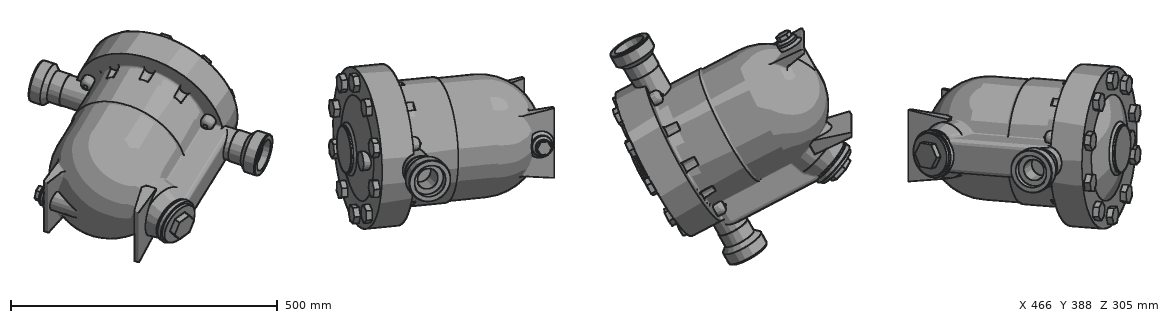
import cadquery as cq
import math


flange_radius = 305.0 / 2
flange_front = 7.5
flange_back = 70.5
cover_radius = 200.0 / 2
cover_mid_radius = 69.5
cover_mid_height = 12.0
cover_neck_radius = 51.0
cover_neck_height = 17.5
cap_radius = 90.0 / 2
cap_top = 97.5
cap_thickness = 4.5
cap_chamfer = 1.0
pad_diameter = 36.0
pad_x = -75.5
pad_top = 88.0

upper_radius = 119.0
lower_radius = 116.0
root_radius = 125.5
root_fillet = 5.0
taper_radius = root_radius - root_fillet
taper_end = -16.0
step_start = -90.0
step_length = 4.0
dome_start = -169.0
dome_end = dome_start - lower_radius

bolt_count = 10
bolt_circle = 129.5
bolt_corner_diameter = 36.0
bolt_head_height = 12.0
scallop_circle = 125.0
scallop_radius = 11.0
scallop_end = -19.0
nut_radius = 26.5 / 2
nut_straight_end = -2.5
nut_dome_end = -12.0
nut_tip_radius = 4.0
nut_tip_end = -16.0

pipe_left = -228.0
pipe_right = 238.0
pipe_diameter = 60.0
sleeve_radius = 62.0 / 2
sleeve_length = 59.5
hub_radius = 81.5 / 2
hub_length = 24.0
hub_taper_length = 10.0
hub_chamfer_length = 2.5
hub_chamfer_depth = 1.0
socket_diameter = 61.0
socket_depth = 15.0
bore_diameter = 40.0

duct_outer_x = 168.0
duct_end = -195.5
duct_width = 66.0
duct_round_y = -9.0
duct_edge_radius = 10.5
outlet_root_radius = 3.5

boss_x = 167.8
boss_y = -226.5
boss_angle = -20.0
boss_radius = 53.0
boss_start = -84.0
boss_cone_start = -46.5
boss_cone_end = -19.5
boss_neck_radius = 43.5
collar_radius = 90.0 / 2
collar_start = -16.0
collar_end = -6.5
plug_flange_radius = 81.5 / 2
strainer_hex_flats = 45.5
strainer_hex_height = 12.5
boss_duct_blend = 8.5

drain_y = -263.0
drain_radius = drain_y - dome_end
drain_skirt_radius = 26.0
drain_skirt_start = -83.5
drain_skirt_end = -89.5
drain_collar_radius = 40.0 / 2
drain_collar_end = -94.0
drain_washer_radius = 36.0 / 2
drain_washer_end = -97.0
drain_seat_radius = 15.0
drain_seat_end = -99.3
drain_hex_flats = 25.0
drain_hex_end = -108.0

foot_bottom = -290.5
foot_top = -210.5
foot_thickness = 9.5
foot_slope = 0.24
foot_bottom_half_width = 69.0
foot_side_slope = 0.15
foot_edge_radius = 2.0
foot_root_radius = 3.5
left_foot_x = -83.5
right_foot_x = 112.5

seam_x = (23.5, 154)
seam_y = (-191, -140)
duct_side_z = (duct_width / 2 - 0.5, duct_width / 2 + 0.5)
outlet_root_x = (88.5, 116.5)
outlet_root_y = (-223.5, -4.5)
outlet_root_z = (28, 42)
foot_root_x = (-86.0, -60.5)
foot_root_y = (-261, -228.5)
foot_root_z = (-62.0, 62.0)


def cylinder_along_y(radius, start, end, x=0.0, z=0.0):
    return cq.Workplane("XZ", origin=(x, start, z)).circle(radius).extrude(start - end)


def cylinder_along_x(radius, start, end, y=0.0):
    return cq.Workplane("YZ", origin=(start, y, 0)).circle(radius).extrude(end - start)


def edges_centred_in(x_range, y_range, z_range):
    """Selector of the edges whose centre lies inside a box."""
    low, high = zip(x_range, y_range, z_range)
    return cq.selectors.BoxSelector(low, high)


def both_sides(near, far):
    """A Z range and its mirror image."""
    return [(near, far), (-far, -near)]


def hexagon_corners(flats):
    return flats / math.cos(math.pi / 6)


def make_vessel():
    dome_mid = lower_radius * math.sqrt(0.5)
    root_bulge = root_fillet * math.sqrt(0.5)
    profile = (
        cq.Workplane("XY")
        .moveTo(0, flange_back)
        .lineTo(flange_radius, flange_back)
        .lineTo(flange_radius, flange_front)
        .lineTo(root_radius, flange_front)
        .threePointArc(
            (root_radius - root_bulge, flange_front - root_fillet + root_bulge),
            (taper_radius, flange_front - root_fillet),
        )
        .lineTo(upper_radius, taper_end)
        .lineTo(upper_radius, step_start)
        .lineTo(lower_radius, step_start - step_length)
        .lineTo(lower_radius, dome_start)
        .threePointArc((dome_mid, dome_start - dome_mid), (0, dome_end))
        .close()
    )
    return profile.revolve(360, (0, 0, 0), (0, 1, 0))


def make_cover_dome():
    cap_bottom = cap_top - cap_thickness
    profile = (
        cq.Workplane("XY")
        .moveTo(0, flange_back)
        .lineTo(cover_radius, flange_back)
        .threePointArc(
            (cover_mid_radius, flange_back + cover_mid_height),
            (cover_neck_radius, flange_back + cover_neck_height),
        )
        .lineTo(cap_radius, cap_bottom)
        .lineTo(cap_radius, cap_top - cap_chamfer)
        .lineTo(cap_radius - cap_chamfer, cap_top)
        .lineTo(0, cap_top)
        .close()
    )
    dome = profile.revolve(360, (0, 0, 0), (0, 1, 0))
    return dome.union(cylinder_along_y(pad_diameter / 2, flange_back, pad_top, x=pad_x))


def make_blind_nut(x, z):
    dome_height = nut_straight_end - nut_dome_end
    mid_radius = nut_tip_radius + (nut_radius - nut_tip_radius) * math.sqrt(0.5)
    mid_y = nut_straight_end - dome_height * math.sqrt(0.5)
    profile = (
        cq.Workplane("XY")
        .moveTo(0, flange_front)
        .lineTo(nut_radius, flange_front)
        .lineTo(nut_radius, nut_straight_end)
        .threePointArc((mid_radius, mid_y), (nut_tip_radius, nut_dome_end))
        .lineTo(0, nut_tip_end)
        .close()
    )
    return profile.revolve(360, (0, 0, 0), (0, 1, 0)).translate((x, 0, z))


def bolt_angles():
    return [90 + i * 360 / bolt_count for i in range(bolt_count)]


def polar(radius, angle):
    return radius * math.cos(math.radians(angle)), radius * math.sin(math.radians(angle))


def is_beside_pipe(angle):
    """The bolts nearest the pipe axis end in blind nuts instead of scallops."""
    height = abs(polar(bolt_circle, angle)[1])
    return height < bolt_circle / 2


def make_bolt_head(angle):
    head = (
        cq.Workplane("XZ", origin=(0, flange_back, bolt_circle))
        .polygon(6, bolt_corner_diameter)
        .extrude(-bolt_head_height)
    )
    return head.rotate((0, 0, 0), (0, 1, 0), 90 - angle)


def make_pipe_end(end_x, direction):
    """Weld hub and sleeve; direction points from the end face to the vessel."""
    hub_end = hub_length + hub_taper_length
    points = [
        (0, 0),
        (0, hub_radius - hub_chamfer_depth),
        (hub_chamfer_length, hub_radius),
        (hub_length, hub_radius),
        (hub_end, sleeve_radius),
        (sleeve_length, sleeve_radius),
        (sleeve_length, 0),
    ]
    profile = [(end_x + direction * along, radius) for along, radius in points]
    return cq.Workplane("XY").polyline(profile).close().revolve(360, (0, 0, 0), (1, 0, 0))


def make_bore(end_x, direction):
    socket = cylinder_along_x(socket_diameter / 2, end_x, end_x + direction * socket_depth)
    return socket.union(cylinder_along_x(bore_diameter / 2, end_x, end_x + direction * sleeve_length))


def make_duct():
    half_width = duct_width / 2
    duct = (
        cq.Workplane("YZ")
        .moveTo(duct_end, -half_width)
        .lineTo(duct_round_y, -half_width)
        .threePointArc((duct_round_y + half_width, 0), (duct_round_y, half_width))
        .lineTo(duct_end, half_width)
        .close()
        .extrude(duct_outer_x)
    )
    outer_edges = duct.faces(">X").edges("not <Y")
    return outer_edges.fillet(duct_edge_radius)


def make_strainer_boss():
    points = [
        (boss_start, 0),
        (boss_start, boss_radius),
        (boss_cone_start, boss_radius),
        (boss_cone_end, boss_neck_radius),
        (collar_start, boss_neck_radius),
        (collar_start, collar_radius),
        (collar_end, collar_radius),
        (collar_end, plug_flange_radius),
        (0, plug_flange_radius),
        (0, 0),
    ]
    boss = cq.Workplane("XY").polyline(points).close().revolve(360, (0, 0, 0), (1, 0, 0))
    plug = (
        cq.Workplane("YZ")
        .polygon(6, hexagon_corners(strainer_hex_flats))
        .extrude(strainer_hex_height)
    )
    return boss.union(plug).rotate((0, 0, 0), (0, 0, 1), boss_angle).translate((boss_x, boss_y, 0))


def make_drain():
    points = [
        (0, 0),
        (0, drain_radius),
        (drain_skirt_start, drain_radius),
        (drain_skirt_start, drain_skirt_radius),
        (drain_skirt_end, drain_collar_radius),
        (drain_collar_end, drain_collar_radius),
        (drain_washer_end, drain_washer_radius),
        (drain_seat_end, drain_seat_radius),
        (drain_seat_end, 0),
    ]
    drain = cq.Workplane("XY").polyline(points).close().revolve(360, (0, 0, 0), (1, 0, 0))
    plug = (
        cq.Workplane("YZ", origin=(drain_hex_end, 0, 0))
        .polygon(6, hexagon_corners(drain_hex_flats))
        .extrude(drain_seat_end - drain_hex_end)
    )
    return drain.union(plug).translate((0, drain_y, 0))


def make_foot(outer_x, inward):
    """Wedge plate; inward is the X direction from its flat outer face to the vessel axis."""
    height = foot_top - foot_bottom
    top_thickness = foot_thickness + foot_slope * height
    wedge = (
        cq.Workplane("XY")
        .polyline([
            (outer_x, foot_bottom),
            (outer_x + inward * foot_thickness, foot_bottom),
            (outer_x + inward * top_thickness, foot_top),
            (outer_x, foot_top),
        ])
        .close()
        .extrude(foot_bottom_half_width, both=True)
    )
    top_half_width = foot_bottom_half_width - foot_side_slope * height
    outline = (
        cq.Workplane("YZ")
        .polyline([
            (foot_bottom, -foot_bottom_half_width),
            (foot_bottom, foot_bottom_half_width),
            (foot_top, top_half_width),
            (foot_top, -top_half_width),
        ])
        .close()
        .extrude(2 * flange_radius, both=True)
    )
    return wedge.intersect(outline).faces("<Y").edges().fillet(foot_edge_radius)


outlet = make_duct().union(make_strainer_boss())
for z_range in both_sides(*duct_side_z):
    outlet = outlet.edges(edges_centred_in(seam_x, seam_y, z_range)).fillet(boss_duct_blend)

body = make_vessel().union(outlet)
for z_range in both_sides(*outlet_root_z):
    body = body.edges(edges_centred_in(outlet_root_x, outlet_root_y, z_range)).fillet(outlet_root_radius)

body = body.union(make_foot(left_foot_x, 1))
body = body.edges(edges_centred_in(foot_root_x, foot_root_y, foot_root_z)).fillet(foot_root_radius)

for angle in bolt_angles():
    if not is_beside_pipe(angle):
        x, z = polar(scallop_circle, angle)
        body = body.cut(cylinder_along_y(scallop_radius, flange_front, scallop_end, x, z))

body = body.union(make_foot(right_foot_x, -1))
body = body.union(make_drain())
body = body.union(make_cover_dome())
body = body.union(cylinder_along_x(pipe_diameter / 2, pipe_left + sleeve_length, pipe_right - sleeve_length))

for angle in bolt_angles():
    body = body.union(make_bolt_head(angle))
    if is_beside_pipe(angle):
        body = body.union(make_blind_nut(*polar(bolt_circle, angle)))

for end_x, direction in ((pipe_left, 1), (pipe_right, -1)):
    body = body.union(make_pipe_end(end_x, direction))
    body = body.cut(make_bore(end_x, direction))

result = body